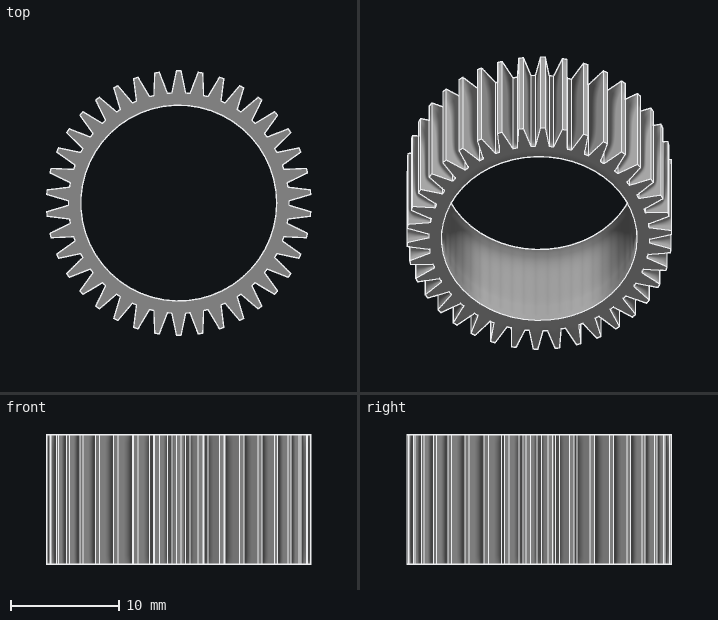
import cadquery as cq
import math

TOOTH_COUNT = 38
OUTER_DIAMETER = 24.5
ROOT_DIAMETER = 20.44
BORE_DIAMETER = 18.1
FACE_WIDTH = 12.0
TIP_WIDTH = 0.44
ROOT_WIDTH = 1.29

TOOTH_PITCH = 2 * math.pi / TOOTH_COUNT
OUTER_RADIUS = OUTER_DIAMETER / 2
ROOT_RADIUS = ROOT_DIAMETER / 2
FIRST_TOOTH_ANGLE = math.pi / 2


def tooth_corner(angle, radius, offset):
    """Point on a circle of the given radius, offset sideways from the tooth centreline."""
    along = math.sqrt(radius**2 - offset**2)
    x = along * math.cos(angle) - offset * math.sin(angle)
    y = along * math.sin(angle) + offset * math.cos(angle)
    return (x, y)


def gear_outline():
    """Straight-flanked teeth; each has two root corners and two tip corners."""
    points = []
    for tooth in range(TOOTH_COUNT):
        angle = FIRST_TOOTH_ANGLE + tooth * TOOTH_PITCH
        points.append(tooth_corner(angle, ROOT_RADIUS, -ROOT_WIDTH / 2))
        points.append(tooth_corner(angle, OUTER_RADIUS, -TIP_WIDTH / 2))
        points.append(tooth_corner(angle, OUTER_RADIUS, TIP_WIDTH / 2))
        points.append(tooth_corner(angle, ROOT_RADIUS, ROOT_WIDTH / 2))
    return points


def gear_ring():
    """Toothed ring with a plain through bore, centred on the origin."""
    body = cq.Workplane("XY").polyline(gear_outline()).close().extrude(FACE_WIDTH / 2, both=True)
    bore = cq.Workplane("XY").circle(BORE_DIAMETER / 2).extrude(FACE_WIDTH / 2, both=True)
    return body.cut(bore)


result = gear_ring()